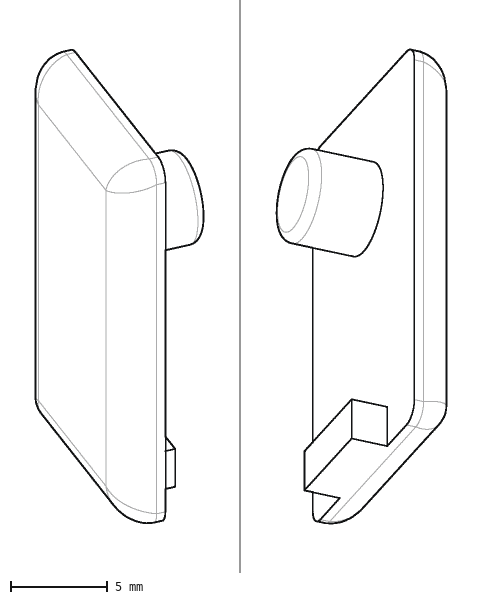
import cadquery as cq

plate_width = 13.0
plate_height = 22
plate_thickness = 2.5
corner_radius = 1.0
face_rounding = 2.0

peg_diameter = 5.0
peg_length = 3.98
peg_rounding = 0.5
peg_drop = 6.51

foot_width = 6.05
foot_depth = 2.0
foot_height = 2.3


def make_plate():
    """Plate with its back in the Y = 0 plane and its rounded face at -Y."""
    plate = cq.Workplane("XZ").rect(plate_width, plate_height).extrude(plate_thickness)
    plate = plate.edges("|Y").fillet(corner_radius)
    return plate.faces("<Y").edges().fillet(face_rounding)


def make_peg():
    """Peg pointing toward +Y with a rounded end."""
    peg_z = plate_height / 2 - peg_drop
    peg = cq.Workplane("XZ").center(0, peg_z).circle(peg_diameter / 2).extrude(-peg_length)
    return peg.faces(">Y").edges().fillet(peg_rounding)


def make_foot():
    """Foot pointing toward +Y."""
    foot_z = (foot_height - plate_height) / 2
    return cq.Workplane("XZ").center(0, foot_z).rect(foot_width, foot_height).extrude(-foot_depth)


result = make_plate().union(make_peg()).union(make_foot())